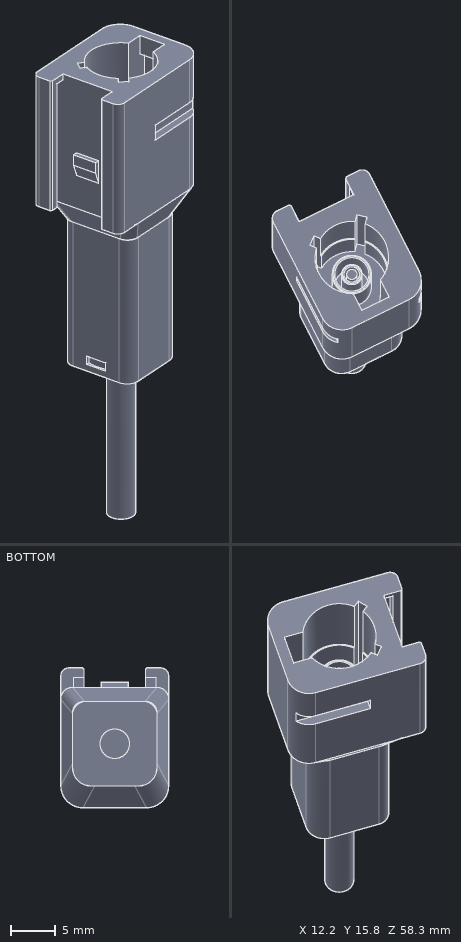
import cadquery as cq
import math

total_height = 58.3
cable_length = 19.95
grip_top = 38.55
body_bottom = 41.55
body_height = total_height - body_bottom

body_width = 12.2
body_depth = 15.8
body_back = 7.25
body_front = body_back - body_depth
back_radius = 2.5
front_radius = 0.95

channel_floor = -6.35
channel_width = 6.9
undercut_width = 9.3
lip_thickness = 1.1
lip_chamfer = 0.2
channel_cap = 0.75

catch_width = 3.1
catch_top = 48.75
catch_slope_top = 47.4
catch_bottom = 45.8
catch_height = 0.6

slot_bottom = 50.85
slot_height = 1.9
slot_front = -1.75
slot_depth = 1.0

bore_radius = 4.15
bore_step_radius = 4.0
bore_floor = body_bottom
keyway_width = 3.45
keyway_back = 5.95
keyway_lip_height = 2.4
keyway_pocket_back = 6.8
notch_width = 1.15
notch_reach = 4.9
notch_angle = 40.0

contact_height = 7.0
contact_top = bore_floor + contact_height
shield_outer_radius = 2.2
shield_inner_radius = 1.9
insulator_outer_radius = 1.15
insulator_inner_radius = 0.9
rim_chamfer = 0.1
pin_radius = 0.6

taper_front_radius = 1.35

grip_width = 9.55
grip_back_radius = 2.15
grip_front_radius = 1.6
cable_radius = 1.66
window_width = 2.6
window_height = 1.05
window_bottom = cable_length + 0.9
core_radius = 4.55


def rounded_outline(plane, width, front, back, front_corner, back_corner):
    """Closed outline symmetric about X = 0 with its own front and back corner radii."""
    half = width / 2
    diagonal = 1 - math.sqrt(0.5)
    front_cut = front_corner * diagonal
    back_cut = back_corner * diagonal
    return (
        plane.moveTo(-half + front_corner, front)
        .lineTo(half - front_corner, front)
        .threePointArc((half - front_cut, front + front_cut), (half, front + front_corner))
        .lineTo(half, back - back_corner)
        .threePointArc((half - back_cut, back - back_cut), (half - back_corner, back))
        .lineTo(-half + back_corner, back)
        .threePointArc((-half + back_cut, back - back_cut), (-half, back - back_corner))
        .lineTo(-half, front + front_corner)
        .threePointArc((-half + front_cut, front + front_cut), (-half + front_corner, front))
        .close()
    )


def block(x_range, y_range, z_range):
    """Axis-aligned box given by its limits along each axis."""
    corner = (x_range[0], y_range[0], z_range[0])
    size = [high - low for low, high in (x_range, y_range, z_range)]
    return cq.Workplane("XY").box(*size, centered=False).translate(corner)


def centred_block(width, y_range, z_range):
    return block((-width / 2, width / 2), y_range, z_range)


def cylinder(radius, bottom, top):
    return cq.Workplane("XY").workplane(offset=bottom).circle(radius).extrude(top - bottom)


def body_shell():
    base = cq.Workplane("XY").workplane(offset=body_bottom)
    outline = rounded_outline(base, body_width, body_front, body_back, front_radius, back_radius)
    return outline.extrude(body_height)


def guide_channel():
    """Front channel with chamfered lips, widened behind the lips and below the cap at the top."""
    half = channel_width / 2
    mouth = half + lip_chamfer
    chamfer_end = body_front + lip_chamfer
    opening = (
        cq.Workplane("XY")
        .workplane(offset=body_bottom)
        .polyline(
            [
                (-half, channel_floor),
                (-half, chamfer_end),
                (-mouth, body_front),
                (mouth, body_front),
                (half, chamfer_end),
                (half, channel_floor),
            ]
        )
        .close()
        .extrude(body_height)
    )
    undercut = centred_block(
        undercut_width,
        (body_front + lip_thickness, channel_floor),
        (body_bottom, total_height - channel_cap),
    )
    return opening.union(undercut)


def latch_catch():
    """Catch with a flat top and a sloped underside."""
    front = channel_floor - catch_height
    return (
        cq.Workplane("YZ")
        .polyline(
            [
                (channel_floor, catch_bottom),
                (front, catch_slope_top),
                (front, catch_top),
                (channel_floor, catch_top),
            ]
        )
        .close()
        .extrude(catch_width / 2, both=True)
    )


def lock_slot(side):
    """Slot in the side face at side = -1 (-X) or +1 (+X), running out at the back corner."""
    outer = side * body_width / 2
    inner = outer - side * slot_depth
    return block(
        sorted((inner, outer)),
        (slot_front, body_back),
        (slot_bottom, slot_bottom + slot_height),
    )


def keyway():
    """Keyway behind the bore, with a deeper pocket below its upper lip."""
    lip_bottom = total_height - keyway_lip_height
    slot = centred_block(keyway_width, (0, keyway_back), (lip_bottom, total_height))
    pocket = centred_block(keyway_width, (0, keyway_pocket_back), (bore_floor, lip_bottom))
    return slot.union(pocket)


def mating_bore():
    """Bore stepped at the height of the contact, with its keyway and coding notches."""
    bore = cylinder(bore_radius, contact_top, total_height)
    bore = bore.union(cylinder(bore_step_radius, bore_floor, contact_top)).union(keyway())
    for angle in (-notch_angle, notch_angle):
        notch = centred_block(notch_width, (-notch_reach, 0), (bore_floor, total_height))
        bore = bore.union(notch.rotate((0, 0, 0), (0, 0, 1), angle))
    return bore


def contact_tube(outer_radius, inner_radius):
    """Tube standing on the bore floor, chamfered around its outer rim."""
    outside = cylinder(outer_radius, bore_floor, contact_top).faces(">Z").edges().chamfer(rim_chamfer)
    return outside.cut(cylinder(inner_radius, bore_floor, contact_top))


def contact():
    """Shield tube, insulator tube and centre pin inside the bore."""
    shield = contact_tube(shield_outer_radius, shield_inner_radius)
    insulator = contact_tube(insulator_outer_radius, insulator_inner_radius)
    pin = cylinder(pin_radius, bore_floor, contact_top)
    return shield.union(insulator).union(pin)


def grip_outline(plane, front_corner, back_corner):
    half = grip_width / 2
    return rounded_outline(plane, grip_width, -half, half, front_corner, back_corner)


def taper():
    lower = grip_outline(
        cq.Workplane("XY").workplane(offset=grip_top), taper_front_radius, back_radius
    )
    upper = rounded_outline(
        lower.workplane(offset=body_bottom - grip_top),
        body_width,
        channel_floor,
        body_back,
        taper_front_radius,
        back_radius,
    )
    return upper.loft(ruled=True)


def grip():
    base = cq.Workplane("XY").workplane(offset=cable_length)
    return grip_outline(base, grip_front_radius, grip_back_radius).extrude(grip_top - cable_length)


def grip_window():
    """Front window that ends on the round core inside the grip."""
    heights = (window_bottom, window_bottom + window_height)
    opening = centred_block(window_width, (-grip_width / 2, 0), heights)
    return opening.cut(cylinder(core_radius, *heights))


body = body_shell().cut(guide_channel()).union(latch_catch())
for side in (-1, 1):
    body = body.cut(lock_slot(side))

result = (
    body.union(taper())
    .cut(mating_bore())
    .union(contact())
    .union(grip().cut(grip_window()))
    .union(cylinder(cable_radius, 0, cable_length))
)